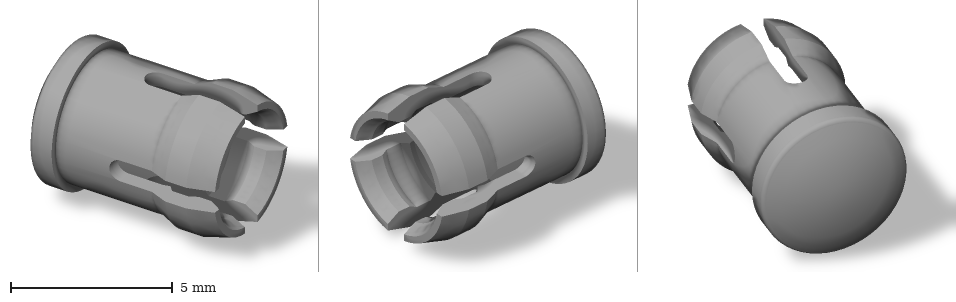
import cadquery as cq

length = 7.24
flange_diameter = 4.9
flange_radius = flange_diameter / 2
body_radius = 2.2

dome_height = 0.67
dome_rim_radius = 2.33
rim_round_end = 0.87
rim_round_bulge = 0.035
flange_back = 1.505

ridge_start = 4.95
ridge_crest_start = 5.59
ridge_crest_end = 6.35

bore_radius = 1.7
bore_floor = flange_back
groove_radius = 1.845
lip_start = 5.07
lip_peak = 5.285
lip_radius = 1.64
groove_full_start = 5.47
groove_full_end = 6.05
groove_end = 6.35
mouth_start = 6.79
mouth_radius = 1.96

slot_width = 0.77
slot_start = 3.44


def make_outside():
    """Revolve the domed head, body and snap ridge as one solid."""
    dome_radius = (dome_rim_radius**2 + dome_height**2) / (2 * dome_height)
    mid_radius = dome_rim_radius / 2
    mid_x = dome_radius - (dome_radius**2 - mid_radius**2) ** 0.5
    rim_round_mid = (
        (dome_height + rim_round_end) / 2 - rim_round_bulge / 2,
        (dome_rim_radius + flange_radius) / 2 + rim_round_bulge,
    )
    profile = (
        cq.Workplane("XY")
        .moveTo(0, 0)
        .threePointArc((mid_x, mid_radius), (dome_height, dome_rim_radius))
        .threePointArc(rim_round_mid, (rim_round_end, flange_radius))
        .lineTo(flange_back, flange_radius)
        .lineTo(flange_back, body_radius)
        .lineTo(ridge_start, body_radius)
        .lineTo(ridge_crest_start, flange_radius)
        .lineTo(ridge_crest_end, flange_radius)
        .lineTo(length, body_radius)
        .lineTo(length, 0)
        .close()
    )
    return profile.revolve(360, (0, 0, 0), (1, 0, 0))


def make_bore():
    """Revolve the cavity, including its lip, groove and flared mouth."""
    profile = (
        cq.Workplane("XY")
        .moveTo(bore_floor, 0)
        .lineTo(bore_floor, bore_radius)
        .lineTo(lip_start, bore_radius)
        .lineTo(lip_peak, lip_radius)
        .lineTo(groove_full_start, groove_radius)
        .lineTo(groove_full_end, groove_radius)
        .lineTo(groove_end, bore_radius)
        .lineTo(mouth_start, bore_radius)
        .lineTo(length, mouth_radius)
        .lineTo(length, 0)
        .close()
    )
    return profile.revolve(360, (0, 0, 0), (1, 0, 0))


def make_slot(plane):
    """Make a through slot along X with a round inner end, sketched on the given plane."""
    half_width = slot_width / 2
    round_centre = slot_start + half_width
    return (
        cq.Workplane(plane)
        .moveTo(length, -half_width)
        .lineTo(round_centre, -half_width)
        .threePointArc((slot_start, 0), (round_centre, half_width))
        .lineTo(length, half_width)
        .close()
        .extrude(flange_radius, both=True)
    )


result = make_outside().cut(make_bore())
for slot_plane in ("XY", "XZ"):
    result = result.cut(make_slot(slot_plane))